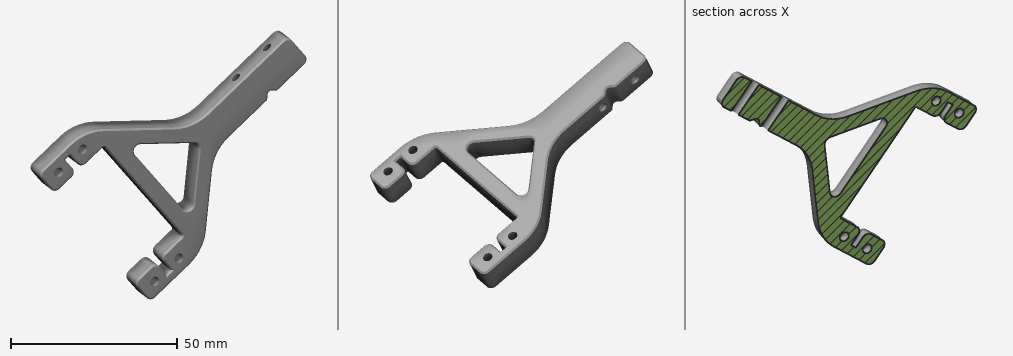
import cadquery as cq
import math

tilt = math.radians(39)
thickness = 8.0
edge_chamfer = 0.5

handle_end_u = -69.1
handle_width = 11.1
handle_center_v = -1.5
handle_top_v = handle_center_v + handle_width / 2
handle_bottom_v = handle_center_v - handle_width / 2

arm_outer_apex_u = -34.9
arm_inner_apex_u = -27.7
bend_radius = 15.0

jaw_end_u = 15.15
jaw_outer_v = 29.1
jaw_inner_v = 20.3
corner_radius = 2.0

slot_start_u = 4.1
slot_width = 2.0
slot_end_u = slot_start_u + slot_width
slot_bottom_v = 26.1

strut_left_u = -10.7
strut_right_u = -5.4
strut_corner_radius = 0.5

hole_diameter = 2.9
jaw_hole_pitch = 10.0
jaw_hole_v = 24.8
handle_hole_count = 2
handle_hole_pitch = 13.0
handle_hole_first_u = -62.3

notch_center_u = -53.65
notch_width = 4.15
notch_root_radius = 1.0

profile_plane = cq.Plane(
    origin=(thickness, 0, 0),
    xDir=(0, -math.cos(tilt), -math.sin(tilt)),
    normal=(-1, 0, 0),
)


def arm_point(apex_u, v):
    """Point at height v on the 45 degree arm line that starts at apex_u."""
    return (apex_u + abs(v - handle_center_v), v)


def jaw_points(side):
    """Corners of one jaw from its outer end corner to the strut; side is +1 or -1."""
    inner_v = side * jaw_inner_v
    bottom_v = side * slot_bottom_v
    return [
        (jaw_end_u, side * jaw_outer_v),
        (jaw_end_u, inner_v),
        (slot_end_u, inner_v),
        (slot_end_u, bottom_v),
        (slot_start_u, bottom_v),
        (slot_start_u, inner_v),
        (strut_right_u, inner_v),
    ]


def fillet_at(body, points, radius):
    """Round the through-thickness edges that stand on the given profile points."""
    for u, v in points:
        place = profile_plane.toWorldCoords((u, v))
        middle = (thickness / 2, place.y, place.z)
        body = body.edges("|X").edges(cq.NearestToPointSelector(middle)).fillet(radius)
    return body


handle_corners = [(handle_end_u, handle_bottom_v), (handle_end_u, handle_top_v)]
upper_bends = [arm_point(arm_outer_apex_u, v) for v in (handle_top_v, jaw_outer_v)]
lower_bends = [arm_point(arm_outer_apex_u, v) for v in (-jaw_outer_v, handle_bottom_v)]
upper_jaw = jaw_points(1)
lower_jaw = jaw_points(-1)

outline = handle_corners + upper_bends + upper_jaw + lower_jaw[::-1] + lower_bends
plate = cq.Workplane(profile_plane).polyline(outline).close().extrude(thickness)

plate = fillet_at(plate, upper_bends + lower_bends, bend_radius)
plate = fillet_at(plate, handle_corners, corner_radius)
for jaw in (upper_jaw, lower_jaw):
    end_outer, end_inner, slot_far, _, _, slot_near, strut_corner = jaw
    plate = fillet_at(plate, [end_outer, end_inner, slot_far, slot_near], corner_radius)
    plate = fillet_at(plate, [strut_corner], strut_corner_radius)

notch_half = notch_width / 2
notch_root = (notch_center_u, handle_bottom_v + notch_half)
notch_corners = [
    (notch_center_u - notch_half, handle_bottom_v),
    notch_root,
    (notch_center_u + notch_half, handle_bottom_v),
]
notch = cq.Workplane(profile_plane).polyline(notch_corners).close().extrude(thickness)
notch = fillet_at(notch, [notch_root], notch_root_radius)
plate = plate.cut(notch)

window_reach = strut_left_u - arm_inner_apex_u
window_corners = [
    (arm_inner_apex_u, handle_center_v),
    (strut_left_u, handle_center_v + window_reach),
    (strut_left_u, handle_center_v - window_reach),
]
window = cq.Workplane(profile_plane).polyline(window_corners).close().extrude(thickness)
window = window.edges("|X").fillet(corner_radius)
plate = plate.cut(window)

plate = plate.faces(">X").chamfer(edge_chamfer)

jaw_hole_centers = [(u, side * jaw_hole_v) for u in (0, jaw_hole_pitch) for side in (1, -1)]
jaw_holes = (
    cq.Workplane(profile_plane)
    .pushPoints(jaw_hole_centers)
    .circle(hole_diameter / 2)
    .extrude(thickness)
)

result = plate.cut(jaw_holes)
for index in range(handle_hole_count):
    hole_u = handle_hole_first_u + index * handle_hole_pitch
    start = profile_plane.toWorldCoords((hole_u, handle_bottom_v, thickness / 2))
    hole = cq.Solid.makeCylinder(hole_diameter / 2, handle_width, start, profile_plane.yDir)
    result = result.cut(cq.Workplane(hole))